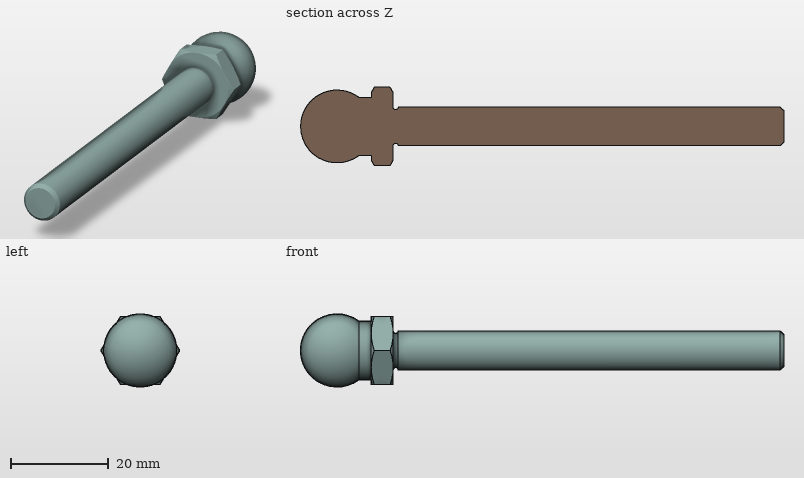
import cadquery as cq
import math

total_length = 99.0
ball_radius = 15.0 / 2
collar_radius = 12.0 / 2
shank_radius = 8.0 / 2
tip_radius = 6.5 / 2
tip_chamfer_length = 0.8

hex_sides = 6
hex_across_flats = 14.0
hex_start = 14.5
hex_end = 19.0
hex_chamfer_angle = math.radians(30)

groove_radius = 0.5

flat_radius = hex_across_flats / 2
corner_radius = flat_radius / math.cos(math.pi / hex_sides)
hex_chamfer_length = (corner_radius - flat_radius) * math.tan(hex_chamfer_angle)
ball_end = ball_radius + math.sqrt(ball_radius**2 - collar_radius**2)
groove_center = hex_end + groove_radius
groove_end = groove_center + groove_radius
groove_floor = shank_radius - groove_radius
tip_chamfer_start = total_length - tip_chamfer_length


def revolve_about_axis(profile):
    """Close a half profile drawn in XY and turn it around the X axis."""
    return profile.close().revolve(360, (0, 0, 0), (1, 0, 0))


def make_ball_and_collar():
    """Ball running into the cylindrical collar that meets the hexagon."""
    profile = (
        cq.Workplane("XY")
        .moveTo(0, 0)
        .threePointArc((ball_radius, ball_radius), (ball_end, collar_radius))
        .lineTo(hex_start, collar_radius)
        .lineTo(hex_start, 0)
    )
    return revolve_about_axis(profile)


def make_hexagon():
    """Hexagon with flats facing +Z and -Z and its corners chamfered at both ends."""
    prism = (
        cq.Workplane("YZ", origin=(hex_start, 0, 0))
        .polygon(hex_sides, 2 * corner_radius)
        .extrude(hex_end - hex_start)
    )
    chamfer_envelope = revolve_about_axis(
        cq.Workplane("XY")
        .moveTo(hex_start, 0)
        .lineTo(hex_start, flat_radius)
        .lineTo(hex_start + hex_chamfer_length, corner_radius)
        .lineTo(hex_end - hex_chamfer_length, corner_radius)
        .lineTo(hex_end, flat_radius)
        .lineTo(hex_end, 0)
    )
    return prism.intersect(chamfer_envelope)


def make_shank():
    """Plain shank with a half-round relief groove behind the hexagon and a chamfered tip."""
    profile = (
        cq.Workplane("XY")
        .moveTo(hex_end, 0)
        .lineTo(hex_end, shank_radius)
        .threePointArc((groove_center, groove_floor), (groove_end, shank_radius))
        .lineTo(tip_chamfer_start, shank_radius)
        .lineTo(total_length, tip_radius)
        .lineTo(total_length, 0)
    )
    return revolve_about_axis(profile)


result = make_ball_and_collar().union(make_hexagon()).union(make_shank())